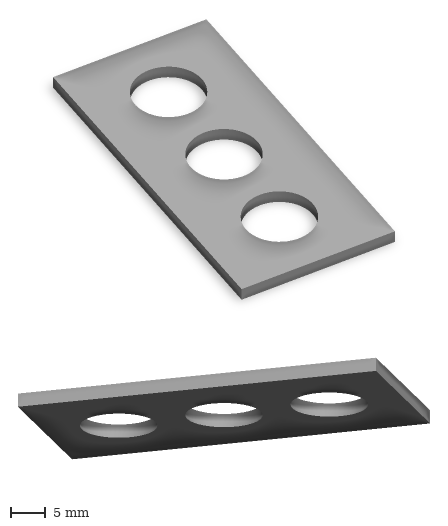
import cadquery as cq

length = 54.0
width = 25.4
thickness = 2.0

hole_count = 3
hole_diameter = 11.1
hole_pitch = 15.85

plate = cq.Workplane("XY").box(length, width, thickness)

result = (
    plate.faces(">Z")
    .workplane()
    .rarray(hole_pitch, 0.55, hole_count, 1)
    .hole(hole_diameter)
)